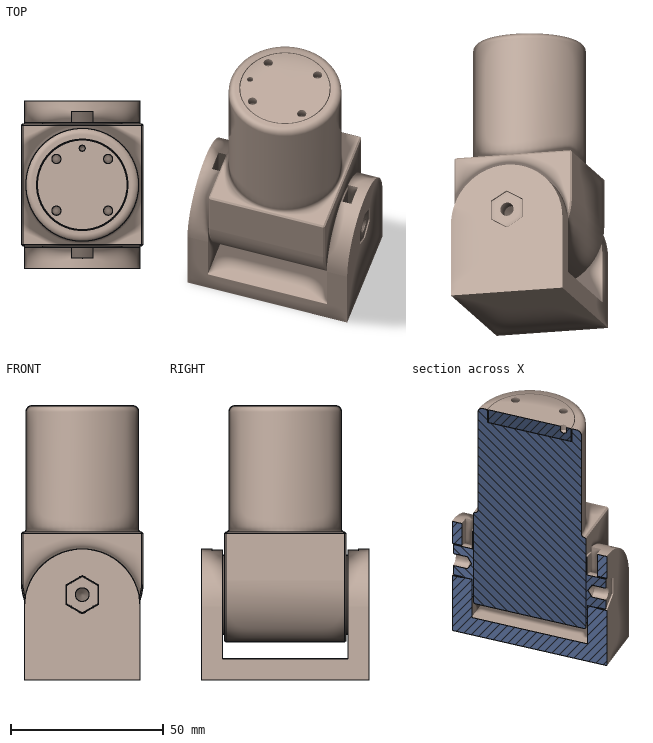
import cadquery as cq
import math

yoke_width = 38.0
yoke_length = 55.0
yoke_wall = 7.0
arm_radius = yoke_width / 2
arm_arc_height = 24.0
arm_gap = yoke_length - 2 * yoke_wall
slot_width = 7.2
slot_depth = yoke_wall / 2
slot_end = arm_gap / 2 + slot_depth

pivot_height = 28.0
pin_hex_flats = 10.4
pin_hex_clearance = 0.2
pin_hex_recess = 0.4
pin_washer_diameter = 26.0
pin_tongue_diameter = 12.0
pin_hole_diameter = 4.5
pin_hole_depth = 5.0
drill_point_angle = 118.0

block_size = 40.0
block_bottom = 12.5
block_top = 48.5
block_chamfer = 0.5
barrel_diameter = 37.0
barrel_top = 90.0
barrel_top_fillet = 2.0
barrel_root_fillet = 0.9
root_box_margin = 0.1
root_box_reach = barrel_diameter / 2 + root_box_margin

disc_diameter = 30.0
disc_thickness = 5.0
disc_clearance = 0.3
hole_circle_radius = 12.0
screw_hole_diameter = 3.0
screw_hole_depth = 3.0
screw_hole_count = 4
first_screw_angle = 45.0
vent_hole_diameter = 2.0
vent_hole_depth = 2.0


def drill(diameter, depth):
    """Drill shape pointing down from the origin, with a conical point."""
    radius = diameter / 2
    point = radius / math.tan(math.radians(drill_point_angle / 2))
    profile = (
        cq.Workplane("XZ")
        .polyline([(0, 0), (radius, 0), (radius, -depth), (0, -depth - point)])
        .close()
    )
    return profile.revolve(360, (0, 0, 0), (0, 1, 0))


def cylinder_y(diameter, y_start, y_end):
    """Cylinder along Y about the pivot axis."""
    return (
        cq.Workplane("XZ", origin=(0, y_start, pivot_height))
        .circle(diameter / 2)
        .extrude(y_start - y_end)
    )


def tongue(y_start, y_end):
    """Round tongue along Y about the pivot axis, with flat sides that fit the arm slot."""
    flat_sides = cq.Workplane("XY", origin=(0, (y_start + y_end) / 2, pivot_height)).box(
        slot_width, y_start - y_end, pin_tongue_diameter
    )
    return cylinder_y(pin_tongue_diameter, y_start, y_end).intersect(flat_sides)


def hexagon(flats, y_start, y_end):
    """Hexagonal prism along Y about the pivot axis, with corners up and down."""
    corner_circle = flats / math.cos(math.pi / 6)
    return (
        cq.Workplane("XZ", origin=(0, y_start, pivot_height))
        .transformed(rotate=(0, 0, 90))
        .polygon(6, corner_circle)
        .extrude(y_start - y_end)
    )


def make_yoke():
    """U-shaped bracket; each arm has an open-topped slot inside and a hexagonal pocket outside."""
    outline = (
        cq.Workplane("XZ", origin=(0, yoke_length / 2, 0))
        .moveTo(-yoke_width / 2, 0)
        .lineTo(yoke_width / 2, 0)
        .lineTo(yoke_width / 2, arm_arc_height)
        .threePointArc((0, arm_arc_height + arm_radius), (-yoke_width / 2, arm_arc_height))
        .close()
        .extrude(yoke_length)
    )
    gap = cq.Workplane("XY", origin=(0, 0, yoke_wall)).box(
        yoke_width, arm_gap, barrel_top, centered=(True, True, False)
    )
    slot = cq.Workplane("XY", origin=(0, 0, pivot_height)).box(
        slot_width, 2 * slot_end, barrel_top, centered=(True, True, False)
    )
    tongue_seat = tongue(slot_end, -slot_end)
    yoke = outline.cut(gap).cut(slot).cut(tongue_seat)
    hex_pocket = hexagon(pin_hex_flats + 2 * pin_hex_clearance, -slot_end, -yoke_length / 2)
    return yoke.cut(hex_pocket).cut(hex_pocket.mirror("XZ"))


def make_pin():
    """Pin of the -Y arm."""
    hex_end = -yoke_length / 2 + pin_hex_recess
    washer = cylinder_y(pin_washer_diameter, -block_size / 2, -arm_gap / 2)
    pin_tongue = tongue(-arm_gap / 2, -slot_end)
    hex_key = hexagon(pin_hex_flats, -slot_end, hex_end)
    hole = drill(pin_hole_diameter, pin_hole_depth).rotate((0, 0, 0), (1, 0, 0), 90)
    hole = hole.translate((0, hex_end, pivot_height))
    return washer.union(pin_tongue).union(hex_key).cut(hole)


def make_head():
    """Block and barrel in one piece, bored at the top for the end disc."""
    round_center = block_bottom + block_size / 2
    block = (
        cq.Workplane("XZ", origin=(0, block_size / 2, 0))
        .moveTo(-block_size / 2, block_top)
        .lineTo(-block_size / 2, round_center)
        .threePointArc((0, block_bottom), (block_size / 2, round_center))
        .lineTo(block_size / 2, block_top)
        .close()
        .extrude(block_size)
        .faces("|Y or >Z")
        .chamfer(block_chamfer)
    )
    barrel = (
        cq.Workplane("XY", origin=(0, 0, block_top))
        .circle(barrel_diameter / 2)
        .extrude(barrel_top - block_top)
        .faces(">Z")
        .edges()
        .fillet(barrel_top_fillet)
    )
    head = block.union(barrel)
    root_box = cq.selectors.BoxSelector(
        (-root_box_reach, -root_box_reach, block_top - root_box_margin),
        (root_box_reach, root_box_reach, block_top + root_box_margin),
        boundingbox=True,
    )
    head = head.edges(root_box).fillet(barrel_root_fillet)
    bore = (
        cq.Workplane("XY", origin=(0, 0, barrel_top - disc_thickness))
        .circle(disc_diameter / 2)
        .extrude(disc_thickness)
    )
    return head.cut(bore)


def make_disc():
    """End disc with a ring of blind screw holes and a small drilled vent."""
    disc = (
        cq.Workplane("XY", origin=(0, 0, barrel_top - disc_thickness))
        .circle(disc_diameter / 2 - disc_clearance)
        .extrude(disc_thickness)
    )
    for i in range(screw_hole_count):
        angle = math.radians(first_screw_angle + i * 360 / screw_hole_count)
        screw_hole = (
            cq.Workplane("XY", origin=(0, 0, barrel_top))
            .center(hole_circle_radius * math.cos(angle), hole_circle_radius * math.sin(angle))
            .circle(screw_hole_diameter / 2)
            .extrude(-screw_hole_depth)
        )
        disc = disc.cut(screw_hole)
    vent = drill(vent_hole_diameter, vent_hole_depth).translate((0, hole_circle_radius, barrel_top))
    return disc.cut(vent)


yoke = make_yoke()
head = make_head()
disc = make_disc()
pins = [make_pin().rotate((0, 0, 0), (0, 0, 1), turn) for turn in (0, 180)]

result = cq.Compound.makeCompound(
    [yoke.val(), head.val(), disc.val(), *[pin.val() for pin in pins]]
)